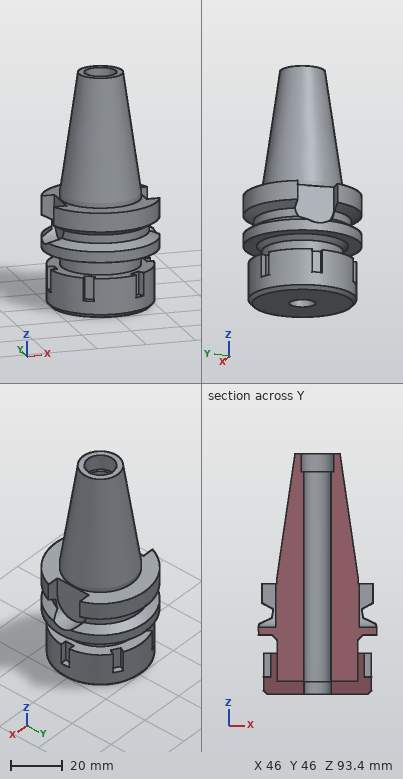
import cadquery as cq
import math


gauge_diameter = 31.75
taper_length = 48.4
taper_ratio = 7 / 24
small_diameter = gauge_diameter - taper_length * taper_ratio

flange_diameter = 46.0
flange_top = -2.0
flange_bottom = -22.0
groove_center = -13.6
groove_diameter = 38.0
groove_floor_width = 3.4
groove_angle = 60.0
groove_depth = (flange_diameter - groove_diameter) / 2
groove_mouth_width = groove_floor_width + 2 * groove_depth * math.tan(math.radians(groove_angle / 2))

neck_diameter = 31.5
neck_cone_height = 2.0
neck_cone_diameter = neck_diameter + 2 * neck_cone_height

drive_slot_width = 16.1
drive_slot_bottom = -18.8
drive_slot_floor = 16.2
drive_slot_center = drive_slot_bottom + drive_slot_width / 2

bore_diameter = 10.3
counterbore_diameter = 12.5
counterbore_depth = 7.0

nut_diameter = 42.0
nut_top = -29.0
nut_bottom = -45.0
nut_height = nut_top - nut_bottom
nut_chamfer = 1.5
nut_end_wall = 5.0
nose_bottom = nut_bottom + nut_end_wall

spanner_slot_count = 6
spanner_slot_width = 4.2
spanner_slot_length = 9.2
spanner_slot_floor = 18.2


def make_holder_blank():
    """Revolve the half profile of the taper, flange, groove, neck and nose."""
    flange_radius = flange_diameter / 2
    groove_radius = groove_diameter / 2
    neck_radius = neck_diameter / 2
    profile = [
        (0, taper_length),
        (small_diameter / 2, taper_length),
        (gauge_diameter / 2, 0),
        (gauge_diameter / 2, flange_top),
        (flange_radius, flange_top),
        (flange_radius, groove_center + groove_mouth_width / 2),
        (groove_radius, groove_center + groove_floor_width / 2),
        (groove_radius, groove_center - groove_floor_width / 2),
        (flange_radius, groove_center - groove_mouth_width / 2),
        (flange_radius, flange_bottom),
        (neck_cone_diameter / 2, flange_bottom),
        (neck_radius, flange_bottom - neck_cone_height),
        (neck_radius, nose_bottom),
        (0, nose_bottom),
    ]
    return cq.Workplane("XZ").polyline(profile).close().revolve(360, (0, 0), (0, 1))


def make_drive_slot():
    """Cutter for the round-bottomed drive slot on the +X side, open at the flange top."""
    half_width = drive_slot_width / 2
    return (
        cq.Workplane("YZ", origin=(drive_slot_floor, 0, 0))
        .moveTo(-half_width, flange_top)
        .lineTo(-half_width, drive_slot_center)
        .threePointArc((0, drive_slot_bottom), (half_width, drive_slot_center))
        .lineTo(half_width, flange_top)
        .close()
        .extrude(flange_diameter / 2)
    )


def make_holder():
    """Holder: turned blank with two drive slots and a counterbored through bore."""
    body = make_holder_blank()
    for angle in (0, 180):
        body = body.cut(make_drive_slot().rotate((0, 0, 0), (0, 0, 1), angle))
    return (
        body.faces(">Z")
        .workplane(origin=(0, 0, taper_length))
        .cboreHole(bore_diameter, counterbore_diameter, counterbore_depth)
    )


def make_nut():
    """Nut: chamfered ring around the holder nose, with spanner slots open at the top."""
    body = (
        cq.Workplane("XY", origin=(0, 0, nut_bottom))
        .circle(nut_diameter / 2)
        .extrude(nut_height)
        .faces("<Z")
        .chamfer(nut_chamfer)
    )
    recess = (
        cq.Workplane("XY", origin=(0, 0, nose_bottom))
        .circle(neck_diameter / 2)
        .extrude(nut_top - nose_bottom)
    )
    bore = cq.Workplane("XY", origin=(0, 0, nut_bottom)).circle(bore_diameter / 2).extrude(nut_height)
    body = body.cut(recess).cut(bore)

    spanner_slot = cq.Workplane("XY").box(
        nut_diameter / 2, spanner_slot_width, spanner_slot_length, centered=(False, True, False)
    ).translate((spanner_slot_floor, 0, nut_top - spanner_slot_length))
    for index in range(spanner_slot_count):
        angle = index * 360 / spanner_slot_count
        body = body.cut(spanner_slot.rotate((0, 0, 0), (0, 0, 1), angle))
    return body


holder = make_holder()
nut = make_nut()
result = cq.Compound.makeCompound([holder.val(), nut.val()])